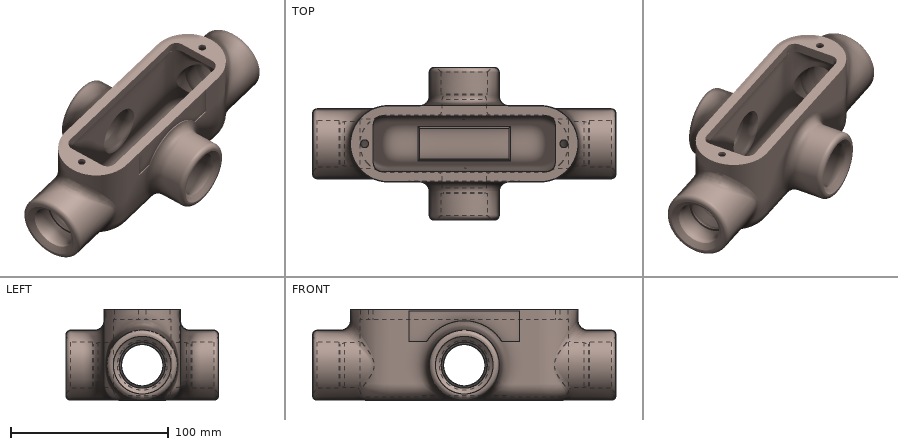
import cadquery as cq

body_length = 144.5
body_width = 48.5
body_height = 57.8
bottom_round = 10.0

wall = 6.0
lip_overhang = 0.5
floor_thickness = 2.0
floor_round = 4.6
lip_thickness = 6.5
opening_length = 115.7
opening_corner = 5.8
cavity_length = body_length - 2 * wall
cavity_width = body_width - 2 * wall
opening_width = cavity_width - 2 * lip_overhang

hub_radius = 44.5 / 2
hub_clearance = 0.04
hub_axis_z = hub_radius + hub_clearance
end_hub_reach = 192.8 / 2
side_hub_reach = 97.0 / 2
hub_rim_round = 3.0
hub_base_fillet = 6.0

mouth_radius = 18.3
bore_radius = 14.7
mouth_depth = 2.9
bore_depth = 16.8
throat_radius = 13.1
throat_length = 0.8
taper_length = 2.9
inner_radius = 14.3
flare_length = 2.9
flare_radius = 15.8

screw_hole_diameter = 5.0
screw_spacing = 126.7

floor_plate_length = 59.0
floor_plate_width = 21.8
floor_plate_height = 1.2
side_recess_length = 70.4
side_recess_height = 19.3
side_recess_top_gap = 1.2
side_recess_depth = 0.5

hubs = [
    (0, end_hub_reach, cavity_length / 2),
    (90, side_hub_reach, cavity_width / 2),
    (180, end_hub_reach, cavity_length / 2),
    (270, side_hub_reach, cavity_width / 2),
]


def turn_to(shape, angle):
    return shape.rotate((0, 0, 0), (0, 0, 1), angle)


def add_hub(body, angle, reach):
    """Join one hub to the body and blend its root, working with the hub along +X."""
    rim_start = reach - hub_rim_round
    hub = (
        cq.Workplane("YZ", origin=(0, 0, hub_axis_z))
        .circle(hub_radius)
        .extrude(reach)
        .faces(">X").edges().fillet(hub_rim_round)
    )
    hub = hub.rotate((0, 0, hub_axis_z), (1, 0, hub_axis_z), -90)
    joined = turn_to(body, -angle).union(hub)

    barrel = joined.faces("%CYLINDER").filter(
        lambda face: abs(face.BoundingBox().xmax - rim_start) < 0.02)
    root = barrel.edges("not %LINE").filter(
        lambda edge: edge.Center().x < rim_start - hub_rim_round)
    blended = joined.newObject(root.vals()).fillet(hub_base_fillet)
    return turn_to(blended, angle)


def hub_bore(angle, reach, cavity_half):
    """Revolved cutter: countersunk mouth, bore, throat, tapered relief and rounded inner end."""
    throat_start = reach - bore_depth
    throat_end = throat_start - throat_length
    taper_end = throat_end - taper_length
    flare_rise = flare_radius - inner_radius
    flare_arc = (flare_length**2 + flare_rise**2) / (2 * flare_rise)
    inner_end = cavity_half - cavity_width / 2
    cutter = (
        cq.Workplane("XZ")
        .moveTo(reach, 0)
        .lineTo(reach, mouth_radius)
        .lineTo(reach - mouth_depth, bore_radius)
        .lineTo(throat_start, bore_radius)
        .lineTo(throat_start, throat_radius)
        .lineTo(throat_end, throat_radius)
        .lineTo(taper_end, inner_radius)
        .lineTo(cavity_half + flare_length, inner_radius)
        .radiusArc((cavity_half, flare_radius), flare_arc)
        .lineTo(inner_end, flare_radius)
        .lineTo(inner_end, 0)
        .close()
        .revolve(360, (0, 0, 0), (1, 0, 0))
    )
    return turn_to(cutter.translate((0, 0, hub_axis_z)), angle)


def cavity():
    chamber = (
        cq.Workplane("XY", origin=(0, 0, floor_thickness))
        .slot2D(cavity_length, cavity_width)
        .extrude(body_height - lip_thickness - floor_thickness)
        .faces("<Z").edges().fillet(floor_round)
    )
    opening = (
        cq.Workplane("XY", origin=(0, 0, body_height - lip_thickness))
        .rect(opening_length, opening_width)
        .extrude(lip_thickness)
        .edges("|Z").fillet(opening_corner)
    )
    return chamber.union(opening)


def screw_holes():
    return (
        cq.Workplane("XY", origin=(0, 0, body_height - lip_thickness))
        .pushPoints([(-screw_spacing / 2, 0), (screw_spacing / 2, 0)])
        .circle(screw_hole_diameter / 2)
        .extrude(lip_thickness)
    )


def floor_plate():
    return (
        cq.Workplane("XY", origin=(0, 0, floor_thickness))
        .rect(floor_plate_length, floor_plate_width)
        .extrude(floor_plate_height, taper=45)
    )


def side_recess():
    """Shallow panel on the -Y wall that stops at the blended root of the side hub."""
    center_z = body_height - side_recess_top_gap - side_recess_height / 2
    panel = (
        cq.Workplane("XZ", origin=(0, -body_width / 2, center_z))
        .rect(side_recess_length, side_recess_height)
        .extrude(-side_recess_depth)
    )
    hub_root = (
        cq.Workplane("XZ", origin=(0, -body_width / 2, hub_axis_z))
        .circle(hub_radius + hub_base_fillet)
        .extrude(-side_recess_depth)
    )
    return panel.cut(hub_root)


result = cq.Workplane("XY").slot2D(body_length, body_width).extrude(body_height)
result = result.faces("<Z").edges().fillet(bottom_round)
for angle, reach, cavity_half in hubs:
    result = add_hub(result, angle, reach)
result = result.cut(cavity())
for angle, reach, cavity_half in hubs:
    result = result.cut(hub_bore(angle, reach, cavity_half))
result = result.cut(screw_holes())
result = result.cut(side_recess())
result = result.union(floor_plate())